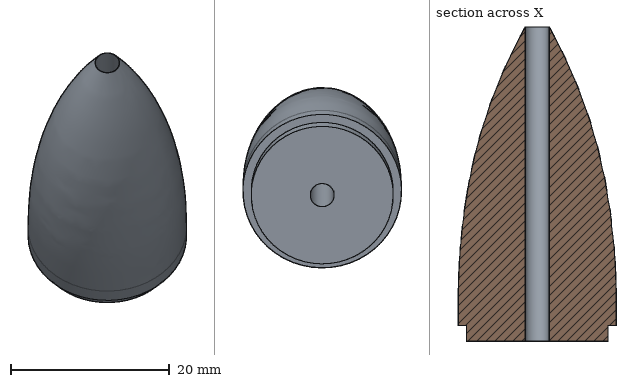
import cadquery as cq

height = 39.6
body_diameter = 20.0
spigot_diameter = 17.9
bore_diameter = 3.0
tip_wall = 0.05
spigot_height = 1.98
band_height = 2.0

body_radius = body_diameter / 2
spigot_radius = spigot_diameter / 2
bore_radius = bore_diameter / 2
tip_radius = bore_radius + tip_wall
nose_start = spigot_height + band_height

nose_points = [
    (9.3, 15.75),
    (7.4, 25.3),
    (tip_radius, height),
]
band_direction = (0, 1)
tip_direction = (-0.55, 1)

result = (
    cq.Workplane("XZ")
    .moveTo(bore_radius, 0)
    .lineTo(spigot_radius, 0)
    .lineTo(spigot_radius, spigot_height)
    .lineTo(body_radius, spigot_height)
    .lineTo(body_radius, nose_start)
    .spline(nose_points, tangents=[band_direction, tip_direction], includeCurrent=True)
    .lineTo(bore_radius, height)
    .close()
    .revolve(360, (0, 0, 0), (0, 1, 0))
)